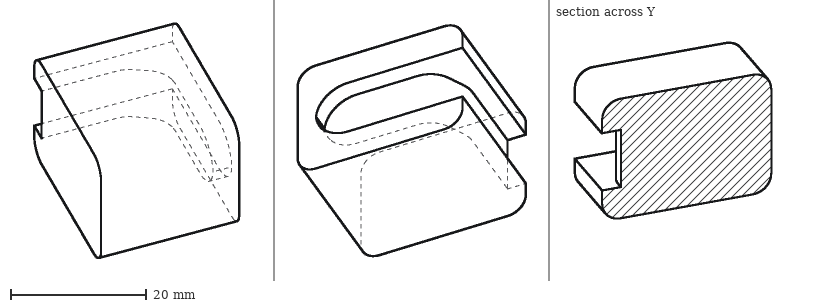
import cadquery as cq
import math

length = 27.0
width = 22.0
height = 20.0
edge_radius = 3.0

channel_height = 9.45
channel_depth = 3.0
end_wall = 3.0
end_radius = 5.26

bend_radius = 4.5
slope_angle = math.radians(27.5)
slope_run = 2.4


def make_block():
    """Box with its four edges along Y rounded."""
    return cq.Workplane("XY").box(length, width, height).edges("|Y").fillet(edge_radius)


def make_core():
    """Material left standing between the channel and the far faces."""
    left = -length / 2 + channel_depth
    back = width / 2 - channel_depth

    half_angle = slope_angle / 2
    steep_mid_angle = (slope_angle + math.pi / 2) / 2
    bend_sin = bend_radius * math.sin(slope_angle)
    bend_cos = bend_radius * math.cos(slope_angle)

    steep_center_y = back - bend_radius
    slope_back_y = steep_center_y + bend_sin
    slope_front_y = slope_back_y - slope_run
    shallow_center_y = slope_front_y - bend_sin
    shallow_center_x = left + bend_radius
    slope_front_x = shallow_center_x - bend_cos
    slope_back_x = slope_front_x + slope_run * math.tan(slope_angle)
    steep_center_x = slope_back_x + bend_cos

    shallow_mid = (
        shallow_center_x - bend_radius * math.cos(half_angle),
        shallow_center_y + bend_radius * math.sin(half_angle),
    )
    steep_mid = (
        steep_center_x - bend_radius * math.cos(steep_mid_angle),
        steep_center_y + bend_radius * math.sin(steep_mid_angle),
    )
    return (
        cq.Workplane("XY")
        .workplane(offset=-channel_height / 2)
        .moveTo(left, -width / 2)
        .lineTo(left, shallow_center_y)
        .threePointArc(shallow_mid, (slope_front_x, slope_front_y))
        .lineTo(slope_back_x, slope_back_y)
        .threePointArc(steep_mid, (steep_center_x, back))
        .lineTo(length / 2, back)
        .lineTo(length / 2, -width / 2)
        .close()
        .extrude(channel_height)
    )


def make_channel():
    """Full-width slot closed by two arcs that meet in a blunt point, less the core."""
    half_height = channel_height / 2
    arc_offset = end_radius - half_height
    apex_x = length / 2 - end_wall
    arc_start_x = apex_x - math.sqrt(end_radius**2 - arc_offset**2)

    mid_angle = (math.pi / 2 + math.asin(arc_offset / end_radius)) / 2
    mid_x = arc_start_x + end_radius * math.cos(mid_angle)
    mid_z = end_radius * math.sin(mid_angle) - arc_offset

    slot = (
        cq.Workplane("XZ", origin=(0, width / 2, 0))
        .moveTo(-length / 2, -half_height)
        .lineTo(arc_start_x, -half_height)
        .threePointArc((mid_x, -mid_z), (apex_x, 0))
        .threePointArc((mid_x, mid_z), (arc_start_x, half_height))
        .lineTo(-length / 2, half_height)
        .close()
        .extrude(width)
    )
    return slot.cut(make_core())


result = make_block().cut(make_channel())